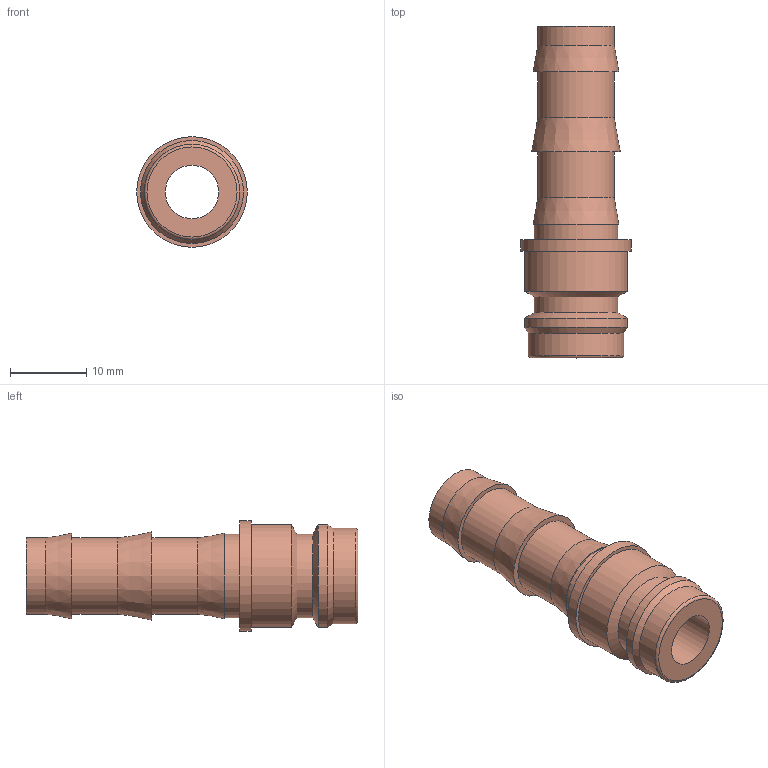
import cadquery as cq
import math

OVERALL_LENGTH = 43.5
BORE_DIAMETER = 7.0

NOSE_DIAMETER = 12.5
NOSE_END = 3.25
NOSE_EDGE_RADIUS = 0.35
PLUG_DIAMETER = 13.5
BEVEL_LENGTH = 0.75
RIM_START = NOSE_END + BEVEL_LENGTH
RIM_END = 5.2
GROOVE_DIAMETER = 10.9
GROOVE_START = RIM_END + BEVEL_LENGTH
GROOVE_END = 8.0
PLUG_BODY_START = GROOVE_END + BEVEL_LENGTH

COLLAR_DIAMETER = 14.5
COLLAR_START = 14.0
COLLAR_LENGTH = 1.5
NECK_DIAMETER = 11.0

TAIL_DIAMETER = 10.0
BARB_TAPER_ANGLE = 10.0
BARB_GAP = 6.0
SHORT_BARB_LENGTH = 3.5
LONG_BARB_LENGTH = 4.5
FIRST_BARB_CREST = 17.5
BARB_LENGTHS = [SHORT_BARB_LENGTH, LONG_BARB_LENGTH, SHORT_BARB_LENGTH]


def ring(start, end, start_diameter, end_diameter=None):
    """Solid cylinder or cone along Y between two stations."""
    if end_diameter is None:
        end_diameter = start_diameter
    profile = (
        cq.Workplane("XY")
        .moveTo(0, start)
        .lineTo(start_diameter / 2, start)
        .lineTo(end_diameter / 2, end)
        .lineTo(0, end)
        .close()
    )
    return profile.revolve(360, (0, 0, 0), (0, 1, 0))


def make_plug():
    """Nose, locking groove with bevelled shoulders, and body up to the collar."""
    nose = ring(0, NOSE_END, NOSE_DIAMETER).faces("<Y").edges().fillet(NOSE_EDGE_RADIUS)
    return (
        nose
        .union(ring(NOSE_END, RIM_START, NOSE_DIAMETER, PLUG_DIAMETER))
        .union(ring(RIM_START, RIM_END, PLUG_DIAMETER))
        .union(ring(RIM_END, GROOVE_START, PLUG_DIAMETER, GROOVE_DIAMETER))
        .union(ring(GROOVE_START, GROOVE_END, GROOVE_DIAMETER))
        .union(ring(GROOVE_END, PLUG_BODY_START, GROOVE_DIAMETER, PLUG_DIAMETER))
        .union(ring(PLUG_BODY_START, COLLAR_START, PLUG_DIAMETER))
    )


def make_barb(crest, length):
    """Conical barb with a square step at its crest."""
    crest_diameter = TAIL_DIAMETER + 2 * length * math.tan(math.radians(BARB_TAPER_ANGLE))
    return ring(crest, crest + length, crest_diameter, TAIL_DIAMETER)


def make_tail():
    """Collar, neck and barbed hose tail."""
    collar_end = COLLAR_START + COLLAR_LENGTH
    tail = (
        ring(COLLAR_START, collar_end, COLLAR_DIAMETER)
        .union(ring(collar_end, FIRST_BARB_CREST, NECK_DIAMETER))
        .union(ring(FIRST_BARB_CREST, OVERALL_LENGTH, TAIL_DIAMETER))
    )
    crest = FIRST_BARB_CREST
    for length in BARB_LENGTHS:
        tail = tail.union(make_barb(crest, length))
        crest += length + BARB_GAP
    return tail


bore = ring(0, OVERALL_LENGTH, BORE_DIAMETER)
result = make_plug().union(make_tail()).cut(bore)